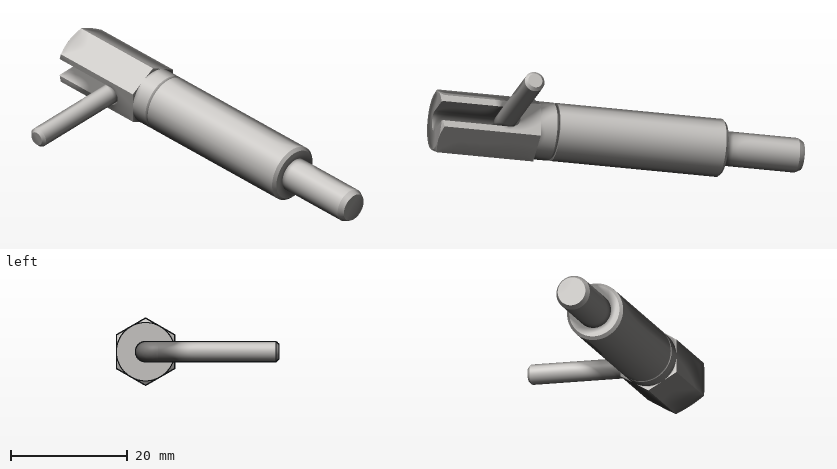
import cadquery as cq
import math

total_length = 65.0
head_length = 17.5
groove_end = 21.0
sleeve_end = 50.95

body_diameter = 10.0
body_radius = body_diameter / 2
hexagon_corner_radius = body_radius / math.cos(math.pi / 6)
head_chamfer_length = 0.45
sleeve_chamfer = 0.5
groove_depth = 0.5

nose_radius = 3.0
nose_chamfer_length = 1.0
nose_chamfer_depth = 0.5
stem_radius = 1.75
handle_x = 11.75
bend_radius = 2.15
total_depth = 27.9
handle_tip_y = body_radius - total_depth
handle_chamfer = 0.5

slot_end_x = 13.9
slot_end_center_x = slot_end_x - stem_radius


def rod(start_x, end_x, radius):
    """Cylinder on the X axis."""
    return cq.Workplane("YZ", origin=(start_x, 0, 0)).circle(radius).extrude(end_x - start_x)


def make_head():
    """Hexagonal head with its corners bevelled by a cone at the outer end."""
    hexagon = (
        cq.Workplane("YZ")
        .polygon(6, 2 * hexagon_corner_radius)
        .extrude(head_length)
        .rotate((0, 0, 0), (1, 0, 0), 90)
    )
    bevel = (
        cq.Workplane("XY")
        .moveTo(0, 0)
        .lineTo(0, body_radius)
        .lineTo(head_chamfer_length, hexagon_corner_radius)
        .lineTo(head_length, hexagon_corner_radius)
        .lineTo(head_length, 0)
        .close()
        .revolve(360, (0, 0, 0), (1, 0, 0))
    )
    return hexagon.intersect(bevel)


def make_sleeve():
    """Round sleeve with a one-sided 45 degree groove and a chamfered end."""
    return (
        cq.Workplane("XY")
        .moveTo(head_length, 0)
        .lineTo(head_length, body_radius)
        .lineTo(groove_end - groove_depth, body_radius)
        .lineTo(groove_end, body_radius - groove_depth)
        .lineTo(groove_end, body_radius)
        .lineTo(sleeve_end - sleeve_chamfer, body_radius)
        .lineTo(sleeve_end, body_radius - sleeve_chamfer)
        .lineTo(sleeve_end, 0)
        .close()
        .revolve(360, (0, 0, 0), (1, 0, 0))
    )


def make_side_slot():
    """Slot open to the -Y side and the outer end of the head."""
    straight = cq.Workplane("XY").box(
        slot_end_center_x, body_radius, 2 * stem_radius, centered=False
    ).translate((0, -body_radius, -stem_radius))
    round_end = (
        cq.Workplane("XZ")
        .center(slot_end_center_x, 0)
        .circle(stem_radius)
        .extrude(body_radius)
    )
    return straight.union(round_end)


def make_plunger():
    """Nose, stem, bend and handle as one continuous solid."""
    stem_path = (
        cq.Workplane("XY")
        .moveTo(head_length, 0)
        .lineTo(handle_x + bend_radius, 0)
        .tangentArcPoint((handle_x, -bend_radius), relative=False)
        .lineTo(handle_x, handle_tip_y)
    )
    stem = (
        cq.Workplane("YZ", origin=(head_length, 0, 0))
        .circle(stem_radius)
        .sweep(stem_path)
        .faces("<Y")
        .chamfer(handle_chamfer)
    )
    nose = (
        cq.Workplane("XY")
        .moveTo(head_length, 0)
        .lineTo(head_length, nose_radius)
        .lineTo(total_length - nose_chamfer_length, nose_radius)
        .lineTo(total_length, nose_radius - nose_chamfer_depth)
        .lineTo(total_length, 0)
        .close()
        .revolve(360, (0, 0, 0), (1, 0, 0))
    )
    return nose.union(stem)


def make_housing(plunger):
    """Head and sleeve with the slot, stem bore and a recess fitting the plunger."""
    stem_bore = rod(0, head_length, stem_radius)
    return make_head().union(make_sleeve()).cut(stem_bore).cut(make_side_slot()).cut(plunger)


plunger = make_plunger()
housing = make_housing(plunger)
result = cq.Compound.makeCompound([housing.solids().val(), plunger.solids().val()])